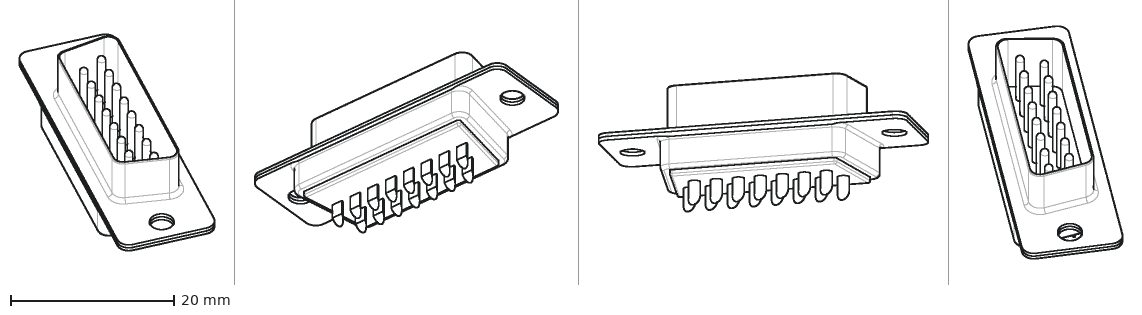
import cadquery as cq
import math

FLANGE_LENGTH = 39.1
FLANGE_DEPTH = 12.5
FLANGE_CORNER = 1.5
SHEET = 0.45
HOLE_DIAMETER = 3.0
HOLE_X = 16.6
EDGE_MARGIN = 0.2

SIDE_ANGLE = 10.0
D_CORNER = 1.45

SHROUD_HALF_DEPTH = 4.15
SHROUD_HALF_WIDTH = 11.9
SHROUD_TOP = 6.5
SHROUD_WALL = 0.25
SHROUD_ROOT_FILLET = 0.55
SHROUD_RIM_FILLET = 0.1

SKIRT_HALF_DEPTH = 6.15
SKIRT_HALF_WIDTH = 12.63
SKIRT_BOTTOM = -4.5
SKIRT_ROOT_FILLET = 0.43
SKIRT_EDGE_FILLET = 0.45

FOOT_HALF_DEPTH = 5.0
FOOT_HALF_WIDTH = 11.4
FOOT_CORNER = 0.3
FOOT_BOTTOM = -5.2
FOOT_EDGE_FILLET = 0.27
FLOOR = -1.5

UPPER_ROW_COUNT = 8
LOWER_ROW_COUNT = 7
UPPER_ROW_SPAN = 19.55
CONTACT_PITCH = UPPER_ROW_SPAN / (UPPER_ROW_COUNT - 1)
ROW_SPACING = 2.78
PIN_DIAMETER = 1.0
PIN_RADIUS = PIN_DIAMETER / 2
PIN_TOP = 5.6
TAIL_DIAMETER = 1.5
TAIL_RADIUS = TAIL_DIAMETER / 2
TAIL_BOTTOM = -8.33
TAIL_BEVEL_HEIGHT = 1.17


def d_prism(half_depth, half_width, corner, z_low, z_high):
    """Upright prism with a D outline that is wider on the +Y side."""
    flare = half_depth * math.tan(math.radians(SIDE_ANGLE))
    wide = half_width + flare
    narrow = half_width - flare
    corners = [(-wide, half_depth), (-narrow, -half_depth), (narrow, -half_depth), (wide, half_depth)]
    prism = cq.Workplane("XY").workplane(offset=z_low).polyline(corners).close().extrude(z_high - z_low)
    return prism.edges("|Z").fillet(corner)


def root_edges(half_depth, z):
    """Selector for the edges where a D-shaped wall meets a flange face at height z."""
    reach = half_depth + EDGE_MARGIN
    low = (-HOLE_X, -reach, z - EDGE_MARGIN)
    high = (HOLE_X, reach, z + EDGE_MARGIN)
    return cq.selectors.BoxSelector(low, high)


def flange_prism(height):
    """Prism with the flange outline, from the joint plane up, or down if height is negative."""
    plate = cq.Workplane("XY").rect(FLANGE_LENGTH, FLANGE_DEPTH).extrude(height)
    return plate.edges("|Z").fillet(FLANGE_CORNER)


def mounting_holes():
    """Cutter for the two screw holes."""
    centres = [(-HOLE_X, 0), (HOLE_X, 0)]
    return cq.Workplane("XY").pushPoints(centres).circle(HOLE_DIAMETER / 2).extrude(SHEET, both=True)


def shroud_outside(z_low):
    """Solid with the outer outline of the shroud, from z_low to the rim."""
    return d_prism(SHROUD_HALF_DEPTH, SHROUD_HALF_WIDTH, D_CORNER, z_low, SHROUD_TOP)


def shroud_cavity():
    """Space inside the shroud, from the insulator face to the rim."""
    return d_prism(SHROUD_HALF_DEPTH - SHROUD_WALL, SHROUD_HALF_WIDTH - SHROUD_WALL,
                   D_CORNER - SHROUD_WALL, FLOOR, SHROUD_TOP)


def skirt_cavity():
    """Space inside the skirt, from its floor to the joint plane."""
    return d_prism(SKIRT_HALF_DEPTH - SHEET, SKIRT_HALF_WIDTH - SHEET,
                   D_CORNER - SHEET, SKIRT_BOTTOM + SHEET, 0)


def insulator_foot():
    """Lower part of the insulator, with a rounded bottom edge."""
    foot = d_prism(FOOT_HALF_DEPTH, FOOT_HALF_WIDTH, FOOT_CORNER, FOOT_BOTTOM, FLOOR)
    return foot.faces("<Z").edges().fillet(FOOT_EDGE_FILLET)


def make_front_shell():
    """Upper flange plate with the thin D-shaped shroud, which runs down to the insulator face."""
    shell = flange_prism(SHEET).union(shroud_outside(0))
    shell = shell.edges(root_edges(SHROUD_HALF_DEPTH, SHEET)).fillet(SHROUD_ROOT_FILLET)
    shell = shell.faces(">Z").edges().fillet(SHROUD_RIM_FILLET)
    sleeve = d_prism(SHROUD_HALF_DEPTH, SHROUD_HALF_WIDTH, D_CORNER, FLOOR, 0)
    return shell.union(sleeve).cut(shroud_cavity()).cut(mounting_holes())


def make_rear_shell():
    """Lower flange plate with the D-shaped skirt; the root flare is trimmed to the flange outline."""
    skirt = d_prism(SKIRT_HALF_DEPTH, SKIRT_HALF_WIDTH, D_CORNER, SKIRT_BOTTOM, 0)
    oversize_plate = cq.Workplane("XY").rect(2 * FLANGE_LENGTH, 2 * FLANGE_DEPTH).extrude(-SHEET)
    shell = oversize_plate.union(skirt)
    shell = shell.edges(root_edges(SKIRT_HALF_DEPTH, -SHEET)).fillet(SKIRT_ROOT_FILLET)
    shell = shell.faces("<Z").edges().fillet(SKIRT_EDGE_FILLET)
    shell = shell.intersect(flange_prism(SKIRT_BOTTOM))
    return shell.cut(skirt_cavity()).cut(insulator_foot()).cut(mounting_holes())


def make_contact(x, y):
    """Round-tipped pin above the insulator and a bevelled half-round solder tail below it."""
    dome_z = PIN_TOP - PIN_RADIUS
    pin = cq.Workplane("XY").workplane(offset=FLOOR).center(x, y).circle(PIN_RADIUS).extrude(dome_z - FLOOR)
    pin = pin.union(cq.Workplane("XY").sphere(PIN_RADIUS).translate((x, y, dome_z)))
    tail = (cq.Workplane("XY").workplane(offset=TAIL_BOTTOM).center(x, y)
            .moveTo(TAIL_RADIUS, 0).threePointArc((0, -TAIL_RADIUS), (-TAIL_RADIUS, 0)).close()
            .extrude(FLOOR - TAIL_BOTTOM))
    bevel_corners = [(y - TAIL_RADIUS, TAIL_BOTTOM), (y, TAIL_BOTTOM), (y, TAIL_BOTTOM + TAIL_BEVEL_HEIGHT)]
    bevel = (cq.Workplane("YZ").workplane(offset=x - TAIL_RADIUS)
             .polyline(bevel_corners).close().extrude(2 * TAIL_RADIUS))
    return pin.union(tail.cut(bevel))


def contact_positions():
    """Centres of all contacts, each row centred on x = 0."""
    rows = [(UPPER_ROW_COUNT, ROW_SPACING / 2), (LOWER_ROW_COUNT, -ROW_SPACING / 2)]
    return [((i - (count - 1) / 2) * CONTACT_PITCH, y) for count, y in rows for i in range(count)]


def make_insulator():
    """Core that fills the skirt around the shroud and carries the moulded-in contacts."""
    core = skirt_cavity().union(insulator_foot()).cut(shroud_outside(FLOOR))
    for x, y in contact_positions():
        core = core.union(make_contact(x, y))
    return core


front_shell = make_front_shell()
rear_shell = make_rear_shell()
insulator = make_insulator()

result = cq.Compound.makeCompound([front_shell.val(), rear_shell.val(), insulator.val()])